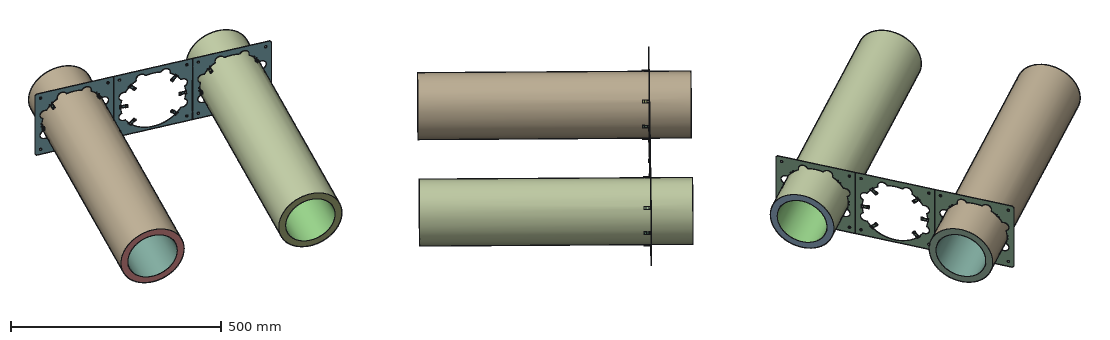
import cadquery as cq
import math


tube_length = 650.0
tube_outer_radius = 80.0
tube_bore_radius = 62.5

plate_x = 99.5
plate_thickness = 1.0
plate_width = 598.0
plate_height = 188.0
panel_pitch = plate_width / 3
plate_corner_chamfer = 4.5
plate_middle_z = 5.0

slot_width = 1.0
bridge_length = 4.0
bridge_offset = 70.0

screw_hole_diameter = 6.0
screw_spacing_y = 170.0
screw_spacing_z = 157.0

opening_radius = 82.0
lobe_radius = 12.5
lobe_circle_radius = 80.3
lobe_angles = [-22.5, 22.5, 67.5, 112.5, 157.5, 202.5]

tab_angles = [-45, 0, 45, 135, 180, 225]
tab_width = 7.0
tab_length = 17.0
tip_lip_length = 5.0
tip_lip_height = 2.0
relief_depth = 2.5
relief_width = 10.5
root_hole_width = 5.0
root_hole_length = 4.5

tab_anchor_radius = opening_radius + 2 * relief_depth

plate_back_x = plate_x + plate_thickness


def box(x_range, y_range, z_range):
    """Box between two limits along each axis."""
    (x0, x1), (y0, y1), (z0, z1) = x_range, y_range, z_range
    return cq.Workplane("XY").box(x1 - x0, y1 - y0, z1 - z0, centered=False).translate((x0, y0, z0))


def plate_cylinder(radius, centers):
    """Cylinders along X that pass through the plate at the given (y, z) centres."""
    plane = cq.Workplane("YZ", origin=(plate_x, 0, 0))
    return plane.pushPoints(centers).circle(radius).extrude(plate_thickness)


def around_opening(shape, panel_y):
    """One copy of a shape, made on the +Y side, for each tab position of a panel."""
    copies = cq.Workplane("XY")
    for angle in tab_angles:
        copies.add(shape.rotate((0, 0, 0), (1, 0, 0), angle).translate((0, panel_y, 0)).val())
    return copies


def opening_cutter(panel_y):
    """Round opening with the lobes and tab reliefs along its rim."""
    lobe_centers = []
    for angle in lobe_angles:
        a = math.radians(angle)
        lobe_centers.append((panel_y + lobe_circle_radius * math.cos(a), lobe_circle_radius * math.sin(a)))
    cutter = plate_cylinder(opening_radius, [(panel_y, 0)]).union(plate_cylinder(lobe_radius, lobe_centers))
    relief = box(
        (plate_x, plate_back_x),
        (opening_radius - relief_depth, opening_radius + relief_depth),
        (-relief_width / 2, relief_width / 2),
    )
    for piece in around_opening(relief, panel_y).vals():
        cutter = cutter.union(cq.Workplane(piece))
    return cutter


def flat_tab():
    """Unbent tab pointing to the opening centre, in the plane of the plate."""
    half_width = tab_width / 2
    tip = opening_radius - tab_length
    strip = box((plate_x, plate_back_x), (tip, tab_anchor_radius), (-half_width, half_width))
    lip = box(
        (plate_x, plate_back_x + tip_lip_height), (tip, tip + tip_lip_length), (-half_width, half_width)
    )
    hole = box(
        (plate_x, plate_back_x),
        (opening_radius - root_hole_length / 2, opening_radius + root_hole_length / 2),
        (-root_hole_width / 2, root_hole_width / 2),
    )
    return strip.union(lip).cut(hole)


def bent_tab():
    """Tab folded back along the tube, its lip pressed against the tube wall."""
    half_width = tab_width / 2
    outer = opening_radius + plate_thickness / 2
    inner = outer - plate_thickness
    tip_x = plate_x + tab_length
    root_plate = box((plate_x, plate_back_x), (inner, tab_anchor_radius), (-half_width, half_width))
    strip = box((plate_x, tip_x), (inner, outer), (-half_width, half_width))
    lip = box((tip_x - tip_lip_length, tip_x), (inner - tip_lip_height, outer), (-half_width, half_width))
    hole = box(
        (plate_back_x, plate_back_x + root_hole_length),
        (inner, outer),
        (-root_hole_width / 2, root_hole_width / 2),
    )
    return root_plate.union(strip).union(lip).cut(hole)


def tube(panel_y):
    section = cq.Workplane("YZ").center(panel_y, 0).circle(tube_outer_radius).circle(tube_bore_radius)
    return section.extrude(tube_length)


def plate_blank():
    blank = cq.Workplane("YZ", origin=(plate_x, 0, plate_middle_z)).rect(plate_width, plate_height)
    return blank.extrude(plate_thickness).edges("|X").chamfer(plate_corner_chamfer)


def tear_slots(slot_y):
    """Slot over the full plate height, interrupted by two bridges."""
    y_range = (slot_y - slot_width / 2, slot_y + slot_width / 2)
    half_bridge = bridge_length / 2
    inner = bridge_offset - half_bridge
    outer = bridge_offset + half_bridge
    edge = plate_height / 2
    slots = cq.Workplane("XY")
    for bottom, top in [(-edge, -outer), (-inner, inner), (outer, edge)]:
        z_range = (plate_middle_z + bottom, plate_middle_z + top)
        slots.add(box((plate_x, plate_back_x), y_range, z_range).val())
    return slots


def screw_holes(panel_y):
    centers = []
    for y_sign in (-1, 1):
        for z_sign in (-1, 1):
            y = panel_y + y_sign * screw_spacing_y / 2
            centers.append((y, plate_middle_z + z_sign * screw_spacing_z / 2))
    return plate_cylinder(screw_hole_diameter / 2, centers)


tube_centers = [-panel_pitch, panel_pitch]
part = plate_blank()
for panel_y in [-panel_pitch, 0, panel_pitch]:
    part = part.cut(opening_cutter(panel_y)).cut(screw_holes(panel_y))
for slot_y in [-panel_pitch / 2, panel_pitch / 2]:
    for slot in tear_slots(slot_y).vals():
        part = part.cut(cq.Workplane(slot))

for tab in around_opening(flat_tab(), 0).vals():
    part = part.union(cq.Workplane(tab))
for panel_y in tube_centers:
    part = part.union(tube(panel_y))
    for tab in around_opening(bent_tab(), panel_y).vals():
        part = part.union(cq.Workplane(tab))

result = part